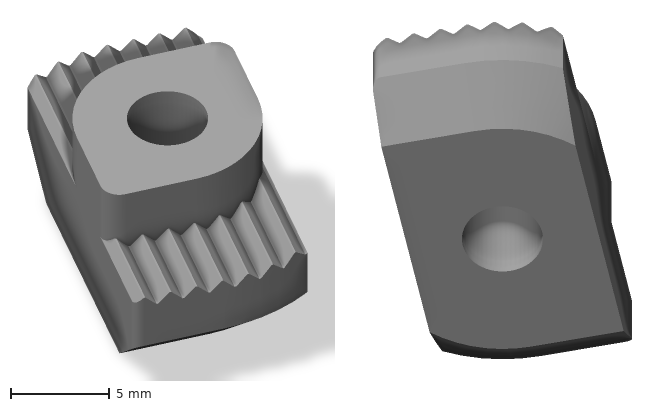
import cadquery as cq
import math

length = 19.0
width = 9.7
height = 8.8
base_height = 5.8
chamfer = 2.5
base_corner_radius = 0.5

boss_corner_radius = 1.0
hole_diameter = 4.15

crest_count = 7
first_crest_y = -4.33
last_crest_y = 4.05
tooth_depth = 0.6
tooth_pitch = (last_crest_y - first_crest_y) / (crest_count - 1)
tooth_flat = tooth_pitch / 2 - tooth_depth

half_length = length / 2
half_width = width / 2


def half_profile():
    """XZ outline from the centre line to the chamfered end at -X."""
    return cq.Workplane("XZ").polyline([
        (0, 0),
        (-half_length + chamfer, 0),
        (-half_length, chamfer),
        (-half_length, base_height),
        (0, base_height),
    ]).close()


def half_turned(body):
    """Join a body to its copy turned half a revolution about Z."""
    return body.union(body.rotate((0, 0, 0), (0, 0, 1), 180))


def make_base():
    square_quarter = half_profile().extrude(-half_width)
    rounded_block = (
        cq.Workplane("XY")
        .box(half_length, half_width, base_height, centered=False)
        .translate((-half_length, 0, 0))
        .edges("|Z and <X and >Y")
        .fillet(base_corner_radius)
    )
    square_quarter = square_quarter.intersect(rounded_block)

    turned = half_profile().revolve(360, (0, 0, 0), (0, 1, 0))
    quarter_space = (
        cq.Workplane("XY")
        .box(half_length, half_width, base_height, centered=False)
        .translate((-half_length, -half_width, 0))
    )
    round_quarter = turned.intersect(quarter_space)
    return half_turned(square_quarter.union(round_quarter))


def cut_serrations(base):
    floor_z = base_height - tooth_depth
    half_floor = tooth_flat / 2
    half_mouth = half_floor + tooth_depth
    for index in range(crest_count + 1):
        groove_y = first_crest_y + (index - 0.5) * tooth_pitch
        groove = (
            cq.Workplane("YZ")
            .polyline([
                (groove_y - half_mouth, base_height),
                (groove_y - half_floor, floor_z),
                (groove_y + half_floor, floor_z),
                (groove_y + half_mouth, base_height),
            ])
            .close()
            .extrude(half_length, both=True)
        )
        base = base.cut(groove)

    edge_floor = (
        cq.Workplane("XY")
        .box(length, half_width - groove_y, tooth_depth, centered=(True, False, False))
        .translate((0, groove_y, floor_z))
    )
    return base.cut(edge_floor)


def make_boss():
    """Column with two opposite full-radius corners and two small-radius corners."""
    arc_middle = half_width * math.sqrt(0.5)
    return (
        cq.Workplane("XY")
        .moveTo(-half_width, 0)
        .threePointArc((-arc_middle, -arc_middle), (0, -half_width))
        .lineTo(half_width - boss_corner_radius, -half_width)
        .radiusArc((half_width, -half_width + boss_corner_radius), -boss_corner_radius)
        .lineTo(half_width, 0)
        .threePointArc((arc_middle, arc_middle), (0, half_width))
        .lineTo(-half_width + boss_corner_radius, half_width)
        .radiusArc((-half_width, half_width - boss_corner_radius), -boss_corner_radius)
        .close()
        .extrude(height)
    )


hole = cq.Workplane("XY").circle(hole_diameter / 2).extrude(height)
result = cut_serrations(make_base()).union(make_boss()).cut(hole)